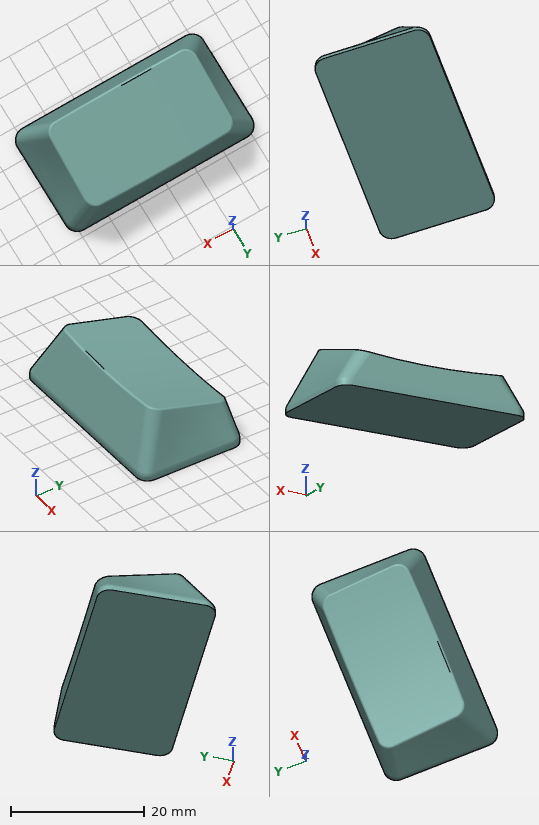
import cadquery as cq
import math

length = 32.45
width = 18.17
rim_height = 0.68
blend_height = 0.6
base_corner_radius = 1.95

top_length = 25.45
top_front_y = -5.03
top_back_y = 8.65
top_front_z = 9.93
top_back_z = 6.07
top_corner_radius = 1.95

dish_depth = 0.65
dish_overrun = 6.5

top_edge_radius = 0.32

top_drop = top_front_z - top_back_z
top_run = top_back_y - top_front_y
top_tilt = math.degrees(math.atan2(top_drop, top_run))
top_width = math.hypot(top_run, top_drop)
top_center = (0, (top_front_y + top_back_y) / 2, (top_front_z + top_back_z) / 2)

wall_start_z = rim_height + blend_height / 2
side_inset = (length - top_length) / 2 * (blend_height / 2) / (top_center[2] - wall_start_z)
front_inset = (width / 2 + top_front_y) * (blend_height / 2) / (top_front_z - wall_start_z)
back_inset = (width / 2 - top_back_y) * (blend_height / 2) / (top_back_z - wall_start_z)


def rounded_rectangle(x_size, y_size, radius):
    """Rounded rectangle centred on the origin in the XY plane."""
    return cq.Sketch().rect(x_size, y_size).vertices().fillet(radius)


def blend_section(height_fraction):
    """Horizontal section through the blend; its inset grows with height squared."""
    inset_fraction = height_fraction**2
    section = rounded_rectangle(
        length - 2 * side_inset * inset_fraction,
        width - (front_inset + back_inset) * inset_fraction,
        base_corner_radius,
    )
    center_y = (front_inset - back_inset) / 2 * inset_fraction
    z = rim_height + blend_height * height_fraction
    return section.moved(cq.Location(cq.Vector(0, center_y, z)))


def make_body():
    """Upright rim, curved blend and ruled walls rising to the tilted top."""
    base = rounded_rectangle(length, width, base_corner_radius)
    rim = cq.Workplane("XY").placeSketch(base).extrude(rim_height)
    blend = cq.Workplane("XY").placeSketch(*[blend_section(f) for f in (0, 0.5, 1)]).loft()
    top = rounded_rectangle(top_length, top_width, top_corner_radius)
    top_location = cq.Location(cq.Vector(*top_center), cq.Vector(1, 0, 0), -top_tilt)
    walls = cq.Workplane("XY").placeSketch(blend_section(1), top.moved(top_location)).loft(ruled=True)
    return rim.union(blend).union(walls)


def make_dish():
    """Cylinder through the long top edges, sunk by the dish depth midway."""
    half_length = top_length / 2
    radius = (half_length**2 + dish_depth**2) / (2 * dish_depth)
    dish_length = top_width + 2 * dish_overrun
    return (
        cq.Workplane("XZ")
        .center(0, radius - dish_depth)
        .circle(radius)
        .extrude(dish_length / 2, both=True)
        .rotate((0, 0, 0), (1, 0, 0), -top_tilt)
        .translate(top_center)
    )


dished_body = make_body().cut(make_dish())
result = dished_body.faces(">Z").edges().fillet(top_edge_radius)